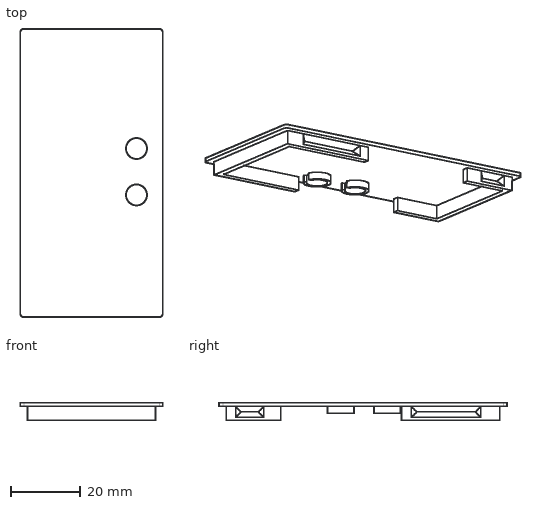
import cadquery as cq

plate_width = 41.2
plate_length = 83.2
plate_thickness = 1.1
corner_radius = 1.1

lip_inset = 2.1
lip_height = 4.0
lip_thickness = 2.0
lip_gap_front = -23.7
lip_gap_back = 11.1

recess_height = 3.2
recess_depth = recess_height / 2
recess_end_slope = recess_depth
front_recess_center = -32.7
front_recess_length = 8.15
back_recess_center = 24.0
back_recess_length = 20.05

boss_x = 13.0
boss_centers_y = (-6.3, 7.1)
boss_diameter = 7.9
boss_height = 2.0
hole_diameter = 6.0
boss_slot_width = 2.3

lip_width = plate_width - 2 * lip_inset
lip_length = plate_length - 2 * lip_inset
lip_bottom = -lip_height


def make_plate():
    """Rounded plate with its underside at Z = 0."""
    plate = cq.Workplane("XY").rect(plate_width, plate_length).extrude(plate_thickness)
    return plate.edges("|Z").fillet(corner_radius)


def make_lip():
    """Rectangular lip frame whose long sides are interrupted by a gap."""
    frame = (
        cq.Workplane("XY")
        .workplane(offset=lip_bottom)
        .rect(lip_width, lip_length)
        .rect(lip_width - 2 * lip_thickness, lip_length - 2 * lip_thickness)
        .extrude(lip_height)
    )
    gap = (
        cq.Workplane("XY", origin=(0, (lip_gap_front + lip_gap_back) / 2, lip_bottom))
        .rect(plate_width, lip_gap_back - lip_gap_front)
        .extrude(lip_height)
    )
    return frame.cut(gap)


def make_recess(center_y, length):
    """Cutter for the left lip: two long sloping faces meet in a ridge, closed by sloping ends."""
    outer_x = -lip_width / 2
    half_length = length / 2
    mouth = [
        cq.Vector(outer_x, center_y - half_length, 0),
        cq.Vector(outer_x, center_y + half_length, 0),
        cq.Vector(outer_x, center_y + half_length, -recess_height),
        cq.Vector(outer_x, center_y - half_length, -recess_height),
    ]
    ridge_half_length = half_length - recess_end_slope
    ridge_x = outer_x + recess_depth
    ridge_z = -recess_height / 2
    ridge_start = cq.Vector(ridge_x, center_y - ridge_half_length, ridge_z)
    ridge_end = cq.Vector(ridge_x, center_y + ridge_half_length, ridge_z)
    outlines = [
        mouth,
        [mouth[0], mouth[1], ridge_end, ridge_start],
        [mouth[3], mouth[2], ridge_end, ridge_start],
        [mouth[0], mouth[3], ridge_start],
        [mouth[1], mouth[2], ridge_end],
    ]
    faces = [cq.Face.makeFromWires(cq.Wire.makePolygon(points, close=True)) for points in outlines]
    return cq.Workplane("XY").add(cq.Solid.makeSolid(cq.Shell.makeShell(faces)))


def make_boss(center_y):
    """Solid boss under the plate, slotted through its +Y side."""
    boss = (
        cq.Workplane("XY", origin=(boss_x, center_y, -boss_height))
        .circle(boss_diameter / 2)
        .extrude(boss_height)
    )
    slot = (
        cq.Workplane("XY", origin=(boss_x, center_y, -boss_height))
        .rect(boss_slot_width, boss_diameter)
        .extrude(boss_height)
        .translate((0, boss_diameter / 2, 0))
    )
    return boss.cut(slot)


def make_hole(center_y):
    """Hole through the plate and the boss."""
    return (
        cq.Workplane("XY", origin=(boss_x, center_y, -boss_height))
        .circle(hole_diameter / 2)
        .extrude(boss_height + plate_thickness)
    )


lip = make_lip()
for center_y, length in (
    (front_recess_center, front_recess_length),
    (back_recess_center, back_recess_length),
):
    left_recess = make_recess(center_y, length)
    lip = lip.cut(left_recess).cut(left_recess.mirror("YZ"))

result = make_plate().union(lip)
for center_y in boss_centers_y:
    result = result.union(make_boss(center_y)).cut(make_hole(center_y))